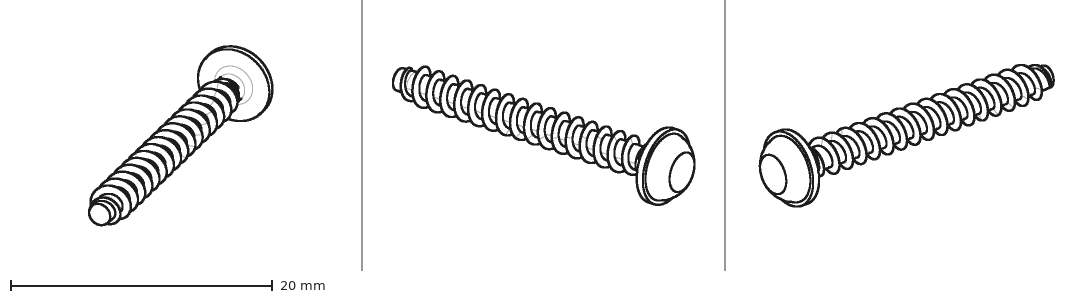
import cadquery as cq
import math


total_length = 27.1
flange_diameter = 6.0
flange_radius = flange_diameter / 2
flange_thickness = 0.6
head_height = 2.1
dome_base_radius = 2.65
dome_top_radius = 1.57
dome_bulge = 0.2

tip_y = head_height - total_length
shank_radius = 1.15
shank_length = 1.52
underhead_fillet = 0.45
core_radius = 0.95
tip_radius = 0.9
tip_taper_length = 1.35

crest_radius = 1.55
buried_root_radius = 0.8
root_width = 0.51
crest_width = 0.04
run_in_turns = 1.25
full_turns = 15.25
run_out_turns = 1.25
thread_turns = run_in_turns + full_turns + run_out_turns
thread_start_y = -1.2
thread_length = 23.77
pitch = thread_length / thread_turns
run_in_radius = 1.1
run_out_radius = 0.85
full_height_angle = math.pi / 2
points_per_turn = 16


def make_body():
    """Head, shank and core as one revolved outline of (radius, Y) points."""
    chord_radius = dome_base_radius - dome_top_radius
    chord_height = head_height - flange_thickness
    chord = math.hypot(chord_radius, chord_height)
    dome_middle = (
        (dome_base_radius + dome_top_radius) / 2 + dome_bulge * chord_height / chord,
        (head_height + flange_thickness) / 2 + dome_bulge * chord_radius / chord,
    )
    fillet_inset = underhead_fillet * (1 - math.sqrt(0.5))
    fillet_middle = (shank_radius + fillet_inset, -fillet_inset)
    return (
        cq.Workplane("XY")
        .moveTo(0, tip_y)
        .lineTo(tip_radius, tip_y)
        .lineTo(core_radius, tip_y + tip_taper_length)
        .lineTo(core_radius, -shank_length)
        .lineTo(shank_radius, -shank_length)
        .lineTo(shank_radius, -underhead_fillet)
        .threePointArc(fillet_middle, (shank_radius + underhead_fillet, 0))
        .lineTo(flange_radius, 0)
        .lineTo(flange_radius, flange_thickness)
        .lineTo(dome_base_radius, flange_thickness)
        .threePointArc(dome_middle, (dome_top_radius, head_height))
        .lineTo(0, head_height)
        .close()
        .revolve(360, (0, 0, 0), (0, 1, 0))
        .val()
    )


def crest_radius_at(turn):
    """Crest radius after the given number of turns from the shank end of the thread."""
    rise = run_in_radius + (crest_radius - run_in_radius) * turn / run_in_turns
    turns_left = thread_turns - turn
    fall = run_out_radius + (crest_radius - run_out_radius) * turns_left / run_out_turns
    return min(rise, crest_radius, fall)


def root_radius_at(_turn):
    """Root radius, the same along the whole thread."""
    return buried_root_radius


def helix_edge(radius_at, y_offset, first_turn, last_turn):
    """Helical edge between two turns, shifted along Y from the ridge's middle."""
    steps = math.ceil((last_turn - first_turn) * points_per_turn)
    points = []
    turns = []
    for step in range(steps + 1):
        turn = first_turn + (last_turn - first_turn) * step / steps
        angle = full_height_angle + 2 * math.pi * (turn - run_in_turns)
        radius = radius_at(turn)
        points.append(cq.Vector(
            radius * math.cos(angle),
            thread_start_y - pitch * turn + y_offset,
            radius * math.sin(angle),
        ))
        turns.append(turn)
    return cq.Edge.makeSpline(points, parameters=turns)


def make_thread():
    """Solid ridge of ruled helical faces, in sections of about one turn, with flat end caps."""
    full_sections = math.ceil(full_turns)
    breaks = [0.0]
    for section in range(full_sections + 1):
        breaks.append(run_in_turns + full_turns * section / full_sections)
    breaks.append(thread_turns)

    faces = []
    end_loops = []
    for first_turn, last_turn in zip(breaks, breaks[1:]):
        edges = [
            helix_edge(root_radius_at, root_width / 2, first_turn, last_turn),
            helix_edge(crest_radius_at, crest_width / 2, first_turn, last_turn),
            helix_edge(crest_radius_at, -crest_width / 2, first_turn, last_turn),
            helix_edge(root_radius_at, -root_width / 2, first_turn, last_turn),
        ]
        for edge, next_edge in zip(edges, edges[1:] + edges[:1]):
            faces.append(cq.Face.makeRuledSurface(edge, next_edge))
        end_loops.append([edge.startPoint() for edge in edges])
        last_loop = [edge.endPoint() for edge in edges]
    for corners in (end_loops[0], last_loop):
        faces.append(cq.Face.makeFromWires(cq.Wire.makePolygon(corners, close=True)))
    return cq.Solid.makeSolid(cq.Shell.makeShell(faces))


def trim_at_tip(thread):
    """Cut off the part of the faded ridge that would pass the tip."""
    keep = cq.Solid.makeCylinder(
        flange_radius, total_length, cq.Vector(0, tip_y, 0), cq.Vector(0, 1, 0)
    )
    return thread.intersect(keep)


body = make_body()
thread = trim_at_tip(make_thread())
result = cq.Workplane("XY").newObject([body.fuse(thread).Solids()[0]])